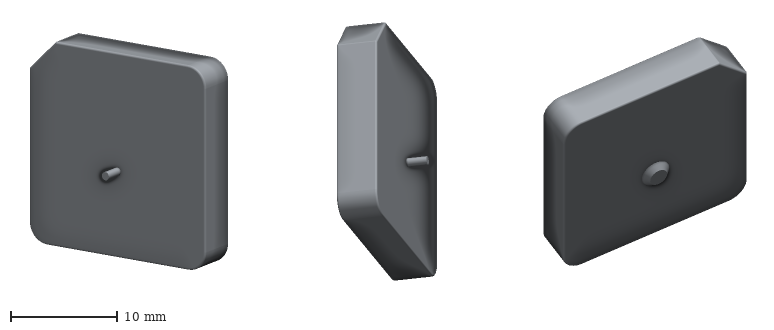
import cadquery as cq

SIDE = 20.0
THICKNESS = 4.0
CORNER_RADIUS = 2.0
CORNER_CUT = 3.0
EDGE_ROUND = 0.2

FEED_Z = -1.6
PIN_RADIUS = 0.4
SLEEVE_RADIUS = 0.8
COLLAR_RADIUS = 1.4
PIN_PROJECTION = 2.0

CAP_HEIGHT = 0.58
CAP_BASE_RADIUS = 1.5
CAP_TOP_RADIUS = CAP_BASE_RADIUS - CAP_HEIGHT

HALF_SIDE = SIDE / 2
FRONT_Y = -THICKNESS / 2
BACK_Y = THICKNESS / 2


def feed_cylinder(radius, start_y, end_y):
    """Cylinder on the feed axis between two Y positions."""
    return (
        cq.Workplane("XZ", origin=(0, start_y, FEED_Z))
        .circle(radius)
        .extrude(start_y - end_y)
    )


def make_housing():
    """Plate with one corner cut off, three rounded corners and a bore for the feed."""
    plate = cq.Workplane("XY").box(SIDE, THICKNESS, SIDE)
    for x, z in ((-HALF_SIDE, -HALF_SIDE), (HALF_SIDE, -HALF_SIDE), (HALF_SIDE, HALF_SIDE)):
        corner = cq.selectors.NearestToPointSelector((x, 0, z))
        plate = plate.edges(corner).fillet(CORNER_RADIUS)
    cut_corner = cq.selectors.NearestToPointSelector((-HALF_SIDE, 0, HALF_SIDE))
    plate = plate.edges(cut_corner).chamfer(CORNER_CUT)

    for x, z in ((-HALF_SIDE, HALF_SIDE - CORNER_CUT), (-HALF_SIDE + CORNER_CUT, HALF_SIDE)):
        cut_end = cq.selectors.NearestToPointSelector((x, 0, z))
        plate = plate.edges(cut_end).fillet(EDGE_ROUND)
    plate = plate.faces("<Y or >Y").edges().fillet(EDGE_ROUND)

    return plate.cut(feed_cylinder(COLLAR_RADIUS, FRONT_Y, BACK_Y))


def make_ring(outer_radius, inner_radius):
    """Ring on the feed axis, flush with both faces of the housing."""
    ring = feed_cylinder(outer_radius, FRONT_Y, BACK_Y)
    return ring.cut(feed_cylinder(inner_radius, FRONT_Y, BACK_Y))


def make_pin():
    """Pin from the back face, standing out of the front face."""
    return feed_cylinder(PIN_RADIUS, FRONT_Y - PIN_PROJECTION, BACK_Y)


def make_cap():
    """Truncated cone that covers the back end of the feed."""
    return cq.Workplane(
        cq.Solid.makeCone(
            CAP_BASE_RADIUS,
            CAP_TOP_RADIUS,
            CAP_HEIGHT,
            pnt=cq.Vector(0, BACK_Y, FEED_Z),
            dir=cq.Vector(0, 1, 0),
        )
    )


housing = make_housing()
collar = make_ring(COLLAR_RADIUS, SLEEVE_RADIUS)
sleeve = make_ring(SLEEVE_RADIUS, PIN_RADIUS)
pin = make_pin()
cap = make_cap()

result = cq.Compound.makeCompound([housing.val(), collar.val(), sleeve.val(), pin.val(), cap.val()])